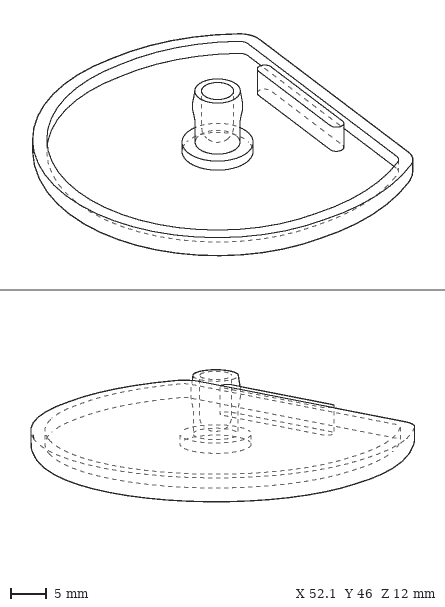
import cadquery as cq
import math

disc_radius = 26.0
flank_radius = 30.0
back_y = 20.0
back_half_width = 20.0
corner_radius = 3.5

plate_height = 4.0
floor_thickness = 2.0
rim_width = 2.0
bottom_edge_radius = 2.2

bar_length = 19.6
bar_width = 2.1
bar_center_y = 14.25
bar_top = 6.0

pad_radius = 5.0
pad_top = 3.5
post_radius = 3.15
post_top_radius = 3.2
post_top = 12.0
bead_radius = 3.5
bead_start = 7.0
bead_lower = 9.0
bead_upper = 10.0

bore_radius = 2.25
bore_bottom_fillet = 2.0
bore_bottom = 4.0


def flank_midpoint():
    """Middle of the right flank arc, from the disc edge to the back corner."""
    chord_x = back_half_width - disc_radius
    chord_y = back_y
    chord = math.hypot(chord_x, chord_y)
    sagitta = flank_radius - math.sqrt(flank_radius**2 - (chord / 2) ** 2)
    mid_x = (disc_radius + back_half_width) / 2 + sagitta * chord_y / chord
    mid_y = back_y / 2 - sagitta * chord_x / chord
    return mid_x, mid_y


def plate_outline():
    """Closed outline of the plate with sharp back corners."""
    mid_x, mid_y = flank_midpoint()
    return (
        cq.Workplane("XY")
        .moveTo(-disc_radius, 0)
        .threePointArc((0, -disc_radius), (disc_radius, 0))
        .threePointArc((mid_x, mid_y), (back_half_width, back_y))
        .lineTo(-back_half_width, back_y)
        .threePointArc((-mid_x, mid_y), (-disc_radius, 0))
        .close()
    )


def make_tray():
    """Shallow tray: rounded bottom edge outside, flat floor inside a rim."""
    back_corners = cq.selectors.BoxSelector(
        (-disc_radius, back_y - corner_radius / 2, 0),
        (disc_radius, back_y + corner_radius / 2, plate_height),
    )
    blank = plate_outline().extrude(plate_height).edges("|Z").edges(back_corners).fillet(corner_radius)
    pocket = (
        blank.faces("<Z")
        .wires()
        .toPending()
        .offset2D(-rim_width)
        .extrude(plate_height, combine=False)
        .translate((0, 0, floor_thickness))
    )
    return blank.faces("<Z").edges().fillet(bottom_edge_radius).cut(pocket)


def make_bar():
    """Upright bar with round ends, standing on the tray floor."""
    return (
        cq.Workplane("XY", origin=(0, bar_center_y, floor_thickness))
        .slot2D(bar_length, bar_width)
        .extrude(bar_top - floor_thickness)
    )


def make_post():
    """Pad and beaded post, revolved about Z."""
    profile = (
        cq.Workplane("XZ")
        .moveTo(0, floor_thickness)
        .lineTo(pad_radius, floor_thickness)
        .lineTo(pad_radius, pad_top)
        .lineTo(post_radius, pad_top)
        .lineTo(post_radius, bead_start)
        .lineTo(bead_radius, bead_lower)
        .lineTo(bead_radius, bead_upper)
        .lineTo(post_top_radius, post_top)
        .lineTo(0, post_top)
        .close()
    )
    return profile.revolve(360, (0, 0, 0), (0, 1, 0))


def make_bore():
    """Bore cutter: a cylinder with a rounded bottom around a small flat."""
    bore = cq.Workplane("XY", origin=(0, 0, bore_bottom)).circle(bore_radius).extrude(post_top - bore_bottom)
    return bore.faces("<Z").edges().fillet(bore_bottom_fillet)


result = make_tray().union(make_bar()).union(make_post()).cut(make_bore())